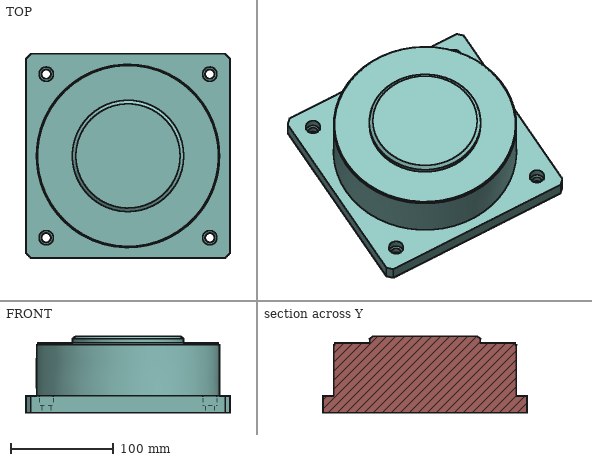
import cadquery as cq

plate_side = 200.0
plate_thickness = 16.5
corner_chamfer = 5.0

drum_base_diameter = 179.2
drum_top_diameter = 179.0
rim_diameter = 177.0
rim_height = 2.0
rim_top = 68.5

cap_diameter = 109.0
cap_top_diameter = 102.0
cap_bevel_height = 2.5
total_height = 75.0

hole_spacing = 160.0
hole_diameter = 9.0
counterbore_diameter = 14.0
counterbore_depth = 9.0


def make_plate():
    plate = cq.Workplane("XY").box(plate_side, plate_side, plate_thickness, centered=(True, True, False))
    return (
        plate.edges("|Z").chamfer(corner_chamfer)
        .faces(">Z").workplane()
        .rect(hole_spacing, hole_spacing, forConstruction=True).vertices()
        .cboreHole(hole_diameter, counterbore_diameter, counterbore_depth)
    )


def make_turned_body():
    """Revolve the drum and cap about Z; the body starts on the plate's lower face."""
    drum_top = rim_top - rim_height
    profile = [
        (0, 0),
        (drum_base_diameter / 2, 0),
        (drum_base_diameter / 2, plate_thickness),
        (drum_top_diameter / 2, drum_top),
        (rim_diameter / 2, drum_top),
        (rim_diameter / 2, rim_top),
        (cap_diameter / 2, rim_top),
        (cap_diameter / 2, total_height - cap_bevel_height),
        (cap_top_diameter / 2, total_height),
        (0, total_height),
    ]
    return cq.Workplane("XZ").polyline(profile).close().revolve(360, (0, 0, 0), (0, 1, 0))


result = make_plate().union(make_turned_body())